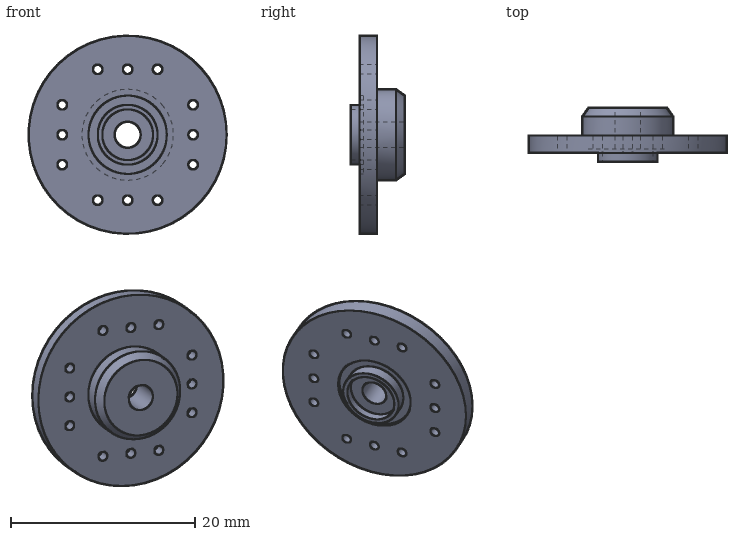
import cadquery as cq

FLANGE_DIAMETER = 21.5
FLANGE_THICKNESS = 1.9

HUB_DIAMETER = 9.9
HUB_STRAIGHT_LENGTH = 2.02
HUB_TAPER_LENGTH = 0.99
HUB_TIP_DIAMETER = 8.5

COLLAR_OUTER_DIAMETER = 6.5
COLLAR_INNER_DIAMETER = 5.5
COLLAR_HEIGHT = 0.99
RECESS_DIAMETER = 8.5
RECESS_DEPTH = 0.39

BORE_DIAMETER = 2.8

PIN_HOLE_DIAMETER = 1.0
PIN_ROW_OFFSET = 7.1
PIN_PITCH = 3.25

FRONT_Y = 0
COLLAR_TIP_Y = FRONT_Y - COLLAR_HEIGHT
RECESS_FLOOR_Y = FRONT_Y + RECESS_DEPTH
FLANGE_BACK_Y = FRONT_Y + FLANGE_THICKNESS
HUB_SHOULDER_Y = FLANGE_BACK_Y + HUB_STRAIGHT_LENGTH
HUB_TIP_Y = HUB_SHOULDER_Y + HUB_TAPER_LENGTH


def make_body():
    """Revolve the half section, given as (radius, Y), about the Y axis."""
    bore_radius = BORE_DIAMETER / 2
    collar_inner_radius = COLLAR_INNER_DIAMETER / 2
    collar_outer_radius = COLLAR_OUTER_DIAMETER / 2
    recess_radius = RECESS_DIAMETER / 2
    flange_radius = FLANGE_DIAMETER / 2
    hub_radius = HUB_DIAMETER / 2
    section = [
        (bore_radius, FRONT_Y),
        (collar_inner_radius, FRONT_Y),
        (collar_inner_radius, COLLAR_TIP_Y),
        (collar_outer_radius, COLLAR_TIP_Y),
        (collar_outer_radius, RECESS_FLOOR_Y),
        (recess_radius, RECESS_FLOOR_Y),
        (recess_radius, FRONT_Y),
        (flange_radius, FRONT_Y),
        (flange_radius, FLANGE_BACK_Y),
        (hub_radius, FLANGE_BACK_Y),
        (hub_radius, HUB_SHOULDER_Y),
        (HUB_TIP_DIAMETER / 2, HUB_TIP_Y),
        (bore_radius, HUB_TIP_Y),
    ]
    return cq.Workplane("XY").polyline(section).close().revolve(360, (0, 0, 0), (0, 1, 0))


def make_pin_holes():
    """Cylinders through the flange for the four rows of small holes."""
    centers = []
    for along in (-PIN_PITCH, 0, PIN_PITCH):
        for side in (-PIN_ROW_OFFSET, PIN_ROW_OFFSET):
            centers.append((along, side))
            centers.append((side, along))
    return (
        cq.Workplane("XZ")
        .pushPoints(centers)
        .circle(PIN_HOLE_DIAMETER / 2)
        .extrude(-FLANGE_THICKNESS)
    )


result = make_body().cut(make_pin_holes())